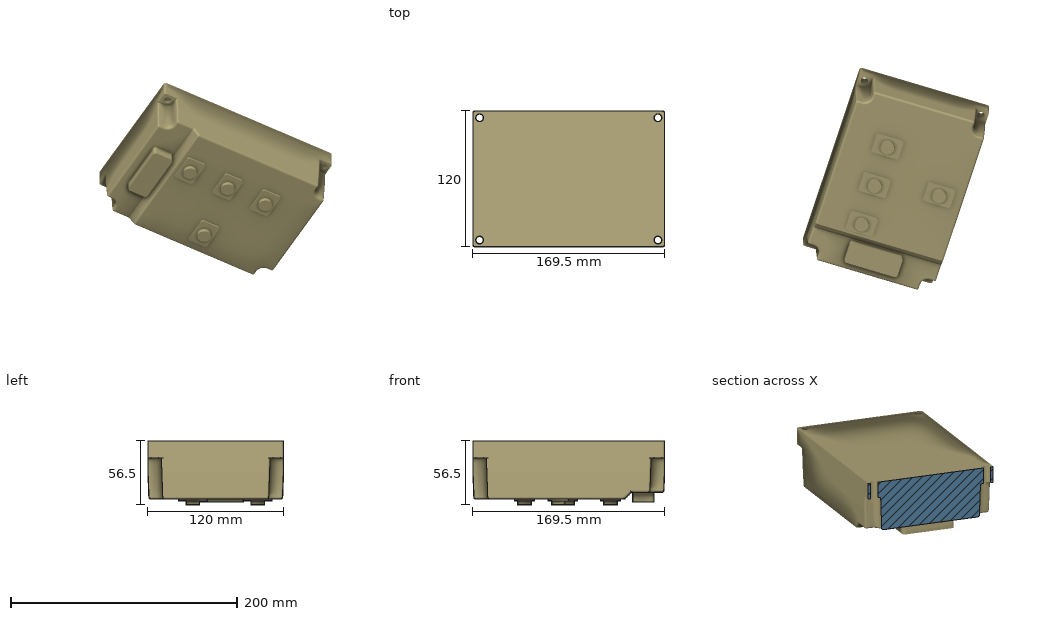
import cadquery as cq

LENGTH = 169.5
WIDTH = 120.0
HEIGHT = 56.5

LID_DEPTH = 27.0
CASE_DEPTH = 51.5
STEP_DEPTH = 45.5
STEP_START = 49.2
BASE_DRAFT = 2.2
CORNER_RADIUS = 2.0
RIM_RADIUS = 2.0

HOLE_INSET = 6.0
HOLE_DIAMETER = 6.5
NOTCH_DEPTH = 15.0
NOTCH_RADIUS = 6.0
NOTCH_EDGE_RADIUS = 1.5
NOTCH_DRAFT = 2.0
NOTCH_MARGIN = 10.0

FLANGE_LENGTH = 18.0
FLANGE_WIDTH = 25.4
FLANGE_THICKNESS = 1.5
FLANGE_RADIUS = 2.0
PLUG_DIAMETER = 12.0
REAR_ROW_Y = 20.2
FRONT_ROW_Y = -37.1
REAR_ROW_PITCH = 38.0
REAR_ROW_CENTRE = -1.1
FRONT_CONNECTOR_X = -9.2

HEADER_LENGTH = 19.0
HEADER_WIDTH = 49.0
HEADER_X = 65.9
HEADER_DEPTH = 54.1
HEADER_RADIUS = 2.5

STEEP_SLOPE = 0.95
DOWNWARD_NORMAL = -0.5
CREASE_TOLERANCE = 0.01

CORNERS = [(sx, sy) for sx in (-1, 1) for sy in (-1, 1)]


def make_case():
    """Upright lid block with a drafted base below it."""
    lid = cq.Workplane("XY").rect(LENGTH, WIDTH).extrude(-LID_DEPTH)
    lid = lid.edges("|Z").fillet(CORNER_RADIUS)
    base = (
        cq.Workplane("XY", origin=(0, 0, -LID_DEPTH))
        .rect(LENGTH, WIDTH)
        .extrude(LID_DEPTH - CASE_DEPTH, taper=BASE_DRAFT)
    )
    return lid.union(base)


def make_step():
    """Space under the raised end of the base, with a 45 degree ramp."""
    rise = CASE_DEPTH - STEP_DEPTH
    return (
        cq.Workplane("XZ")
        .moveTo(STEP_START, -CASE_DEPTH)
        .lineTo(STEP_START + rise, -STEP_DEPTH)
        .lineTo(LENGTH, -STEP_DEPTH)
        .lineTo(LENGTH, -CASE_DEPTH)
        .close()
        .extrude(WIDTH, both=True)
    )


def make_notch(side_x, side_y):
    """Round-bottomed corner notch, concentric with its screw hole and widening downwards."""
    reach = HOLE_INSET + NOTCH_RADIUS
    size = reach + NOTCH_MARGIN
    offset = size / 2 - reach
    return (
        cq.Workplane("XY", origin=(0, 0, -NOTCH_DEPTH))
        .center(side_x * (LENGTH / 2 + offset), side_y * (WIDTH / 2 + offset))
        .sketch()
        .rect(size, size)
        .vertices()
        .fillet(NOTCH_RADIUS)
        .finalize()
        .extrude(-(CASE_DEPTH - NOTCH_DEPTH), taper=-NOTCH_DRAFT)
    )


def make_connector(x, y):
    """Flange with a round plug."""
    flange = (
        cq.Workplane("XY", origin=(x, y, -CASE_DEPTH))
        .rect(FLANGE_LENGTH, FLANGE_WIDTH)
        .extrude(-FLANGE_THICKNESS)
        .edges("|Z")
        .fillet(FLANGE_RADIUS)
    )
    plug = (
        cq.Workplane("XY", origin=(x, y, -CASE_DEPTH))
        .circle(PLUG_DIAMETER / 2)
        .extrude(CASE_DEPTH - HEIGHT)
    )
    return flange.union(plug)


def make_header():
    """Rounded block under the raised step."""
    return (
        cq.Workplane("XY", origin=(HEADER_X, 0, -STEP_DEPTH))
        .rect(HEADER_LENGTH, HEADER_WIDTH)
        .extrude(STEP_DEPTH - HEADER_DEPTH)
        .edges("|Z")
        .fillet(HEADER_RADIUS)
    )


def round_notch_edges(case):
    """Round the steep edges where the notch walls break out through the case sides."""
    inner_length = LENGTH / 2 - HOLE_INSET
    inner_width = WIDTH / 2 - HOLE_INSET
    edges = []
    for edge in case.edges().vals():
        centre = edge.Center()
        beside_end = abs(centre.x) > inner_length and abs(centre.y) < inner_width
        beside_side = abs(centre.y) > inner_width and abs(centre.x) < inner_length
        below_ceiling = -STEP_DEPTH < centre.z < -NOTCH_DEPTH
        steep = abs(edge.tangentAt(0.5).z) > STEEP_SLOPE
        if steep and below_ceiling and (beside_end or beside_side):
            edges.append(edge)
    return case.newObject(edges).fillet(NOTCH_EDGE_RADIUS)


def is_ramp_crease(edge):
    """Tell whether an edge is one of the two straight creases across the ramp."""
    centre = edge.Center()
    ramp_end = STEP_START + CASE_DEPTH - STEP_DEPTH
    within_ramp = STEP_START - CREASE_TOLERANCE < centre.x < ramp_end + CREASE_TOLERANCE
    return within_ramp and abs(centre.y) < CREASE_TOLERANCE


def round_rim(case):
    """Round the whole outline of the underside, ramp and raised end included."""
    edges = []
    for face in case.faces().vals():
        if face.normalAt().z < DOWNWARD_NORMAL and face.Center().z < -LID_DEPTH:
            edges += [edge for edge in face.Edges() if not is_ramp_crease(edge)]
    return case.newObject(edges).fillet(RIM_RADIUS)


case = make_case().cut(make_step())
for side_x, side_y in CORNERS:
    case = case.cut(make_notch(side_x, side_y))
case = round_notch_edges(case)
case = round_rim(case)

hole_points = [(sx * (LENGTH / 2 - HOLE_INSET), sy * (WIDTH / 2 - HOLE_INSET)) for sx, sy in CORNERS]
holes = cq.Workplane("XY").pushPoints(hole_points).circle(HOLE_DIAMETER / 2).extrude(-CASE_DEPTH)
result = case.cut(holes).union(make_header())
result = result.union(make_connector(FRONT_CONNECTOR_X, FRONT_ROW_Y))
for place in (-1, 0, 1):
    result = result.union(make_connector(REAR_ROW_CENTRE + place * REAR_ROW_PITCH, REAR_ROW_Y))